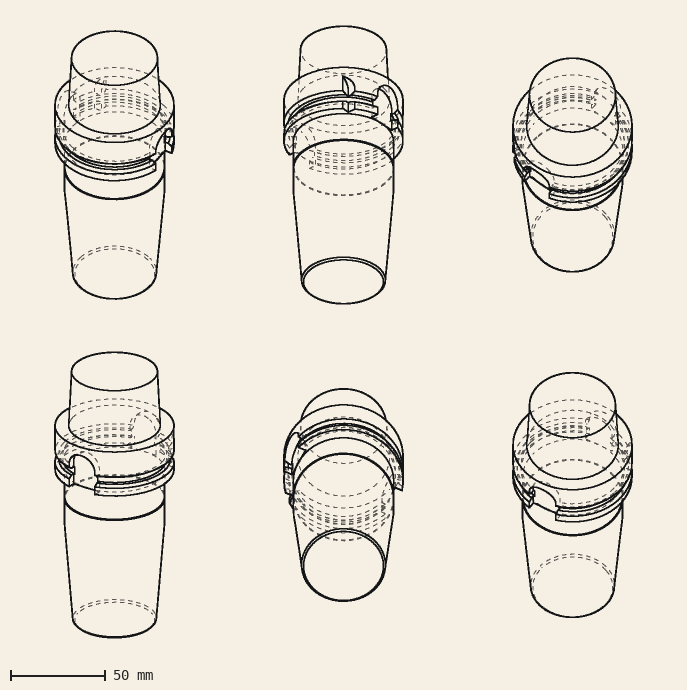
import cadquery as cq

TOTAL_HEIGHT = 147.0
COLLAR_TOP = 115.1
COLLAR_BOTTOM = 100.4
FLANGE_TOP = 93.6
FLANGE_BOTTOM = 89.1
SEAM_HEIGHT = 72.5
CONE_TOP = 57.2

SHANK_TOP_RADIUS = 22.8
SHANK_BASE_RADIUS = 24.3
COLLAR_RADIUS = 63.0 / 2
GRIP_GROOVE_RADIUS = 27.3
BODY_RADIUS = 53.0 / 2
SEAM_RADIUS = 52.5 / 2
NOSE_RADIUS = 22.2

GROOVE_BEVEL_WIDTH = 2.0
GROOVE_BEVEL_HEIGHT = 1.3
SEAM_BEVEL = BODY_RADIUS - SEAM_RADIUS
NOSE_BEVEL = 1.0

SLOT_RADIUS = 8.2
SLOT_TOP = 110.2
DRIVE_FLOOR = 26.3
NOTCH_FLOOR = 20.0
NOTCH_SIDE = 19.8
NOTCH_CENTER = NOTCH_SIDE + SLOT_RADIUS


def slot_cutter(center_y, floor):
    """Slot with a round top that opens toward -X and runs out below the flange."""
    arc_height = SLOT_TOP - SLOT_RADIUS
    return (
        cq.Workplane("YZ", origin=(-floor, 0, 0))
        .moveTo(center_y - SLOT_RADIUS, FLANGE_BOTTOM)
        .lineTo(center_y - SLOT_RADIUS, arc_height)
        .threePointArc((center_y, SLOT_TOP), (center_y + SLOT_RADIUS, arc_height))
        .lineTo(center_y + SLOT_RADIUS, FLANGE_BOTTOM)
        .close()
        .extrude(floor - COLLAR_RADIUS - 1.5)
    )


def make_holder():
    """Tapered shank, collar with grip groove and slots, and the upper body."""
    bevel_radius = COLLAR_RADIUS - GROOVE_BEVEL_WIDTH
    groove_top = COLLAR_BOTTOM - GROOVE_BEVEL_HEIGHT
    groove_bottom = FLANGE_TOP + GROOVE_BEVEL_HEIGHT
    profile = [
        (0, TOTAL_HEIGHT),
        (SHANK_TOP_RADIUS, TOTAL_HEIGHT),
        (SHANK_BASE_RADIUS, COLLAR_TOP),
        (COLLAR_RADIUS, COLLAR_TOP),
        (COLLAR_RADIUS, COLLAR_BOTTOM),
        (bevel_radius, groove_top),
        (GRIP_GROOVE_RADIUS, groove_top),
        (GRIP_GROOVE_RADIUS, groove_bottom),
        (bevel_radius, groove_bottom),
        (COLLAR_RADIUS, FLANGE_TOP),
        (COLLAR_RADIUS, FLANGE_BOTTOM),
        (BODY_RADIUS, FLANGE_BOTTOM),
        (BODY_RADIUS, SEAM_HEIGHT + SEAM_BEVEL),
        (SEAM_RADIUS, SEAM_HEIGHT),
        (0, SEAM_HEIGHT),
    ]
    body = cq.Workplane("XZ").polyline(profile).close().revolve(360, (0, 0), (0, 1))
    drive_slot = slot_cutter(0, DRIVE_FLOOR)
    opposite_slot = drive_slot.mirror("YZ")
    notch = slot_cutter(NOTCH_CENTER, NOTCH_FLOOR)
    return body.cut(drive_slot).cut(opposite_slot).cut(notch).solids()


def make_sleeve():
    """Lower sleeve: a short cylinder that tapers down to a beveled nose."""
    profile = [
        (0, SEAM_HEIGHT),
        (SEAM_RADIUS, SEAM_HEIGHT),
        (BODY_RADIUS, SEAM_HEIGHT - SEAM_BEVEL),
        (BODY_RADIUS, CONE_TOP),
        (NOSE_RADIUS, NOSE_BEVEL),
        (NOSE_RADIUS - NOSE_BEVEL, 0),
        (0, 0),
    ]
    return cq.Workplane("XZ").polyline(profile).close().revolve(360, (0, 0), (0, 1))


holder = make_holder()
sleeve = make_sleeve()
result = cq.Compound.makeCompound([holder.val(), sleeve.val()])